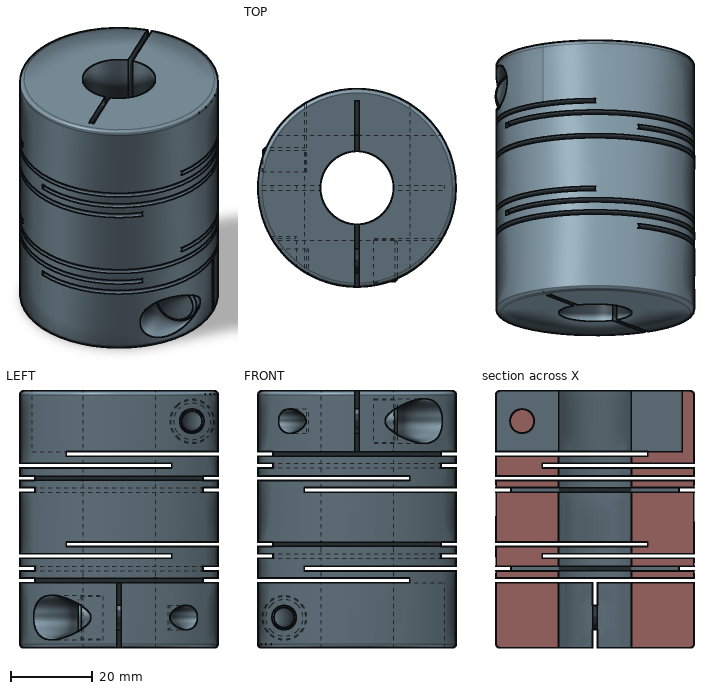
import cadquery as cq


body_diameter = 49.0
body_length = 63.5
bore_diameter = 18.0
rim_fillet = 1.0

slot_width = 1.1
slot_reach = 13.0
slot_pair_pitch = 2.9
slot_pair_step = 6.0
slot_group_step = 22.3
first_slot_depth = 15.6

slit_width = 1.2
slit_reach = 21.5

screw_offset = 18.0
screw_end_distance = 7.5
shank_diameter = 6.0
shank_tip = -12.5
tip_chamfer = 0.5
head_diameter = 10.5
head_seat = 4.0
head_face = 10.0
head_chamfer = 0.7
counterbore_diameter = 11.0

body_radius = body_diameter / 2
first_slot_z = body_length - first_slot_depth
last_slot_z = first_slot_z - slot_group_step - slot_pair_step - slot_pair_pitch

FROM_MINUS_Y = 0
FROM_PLUS_X = 90
FROM_PLUS_Y = 180
FROM_MINUS_X = 270

SWAP_AXIS_END = (1, 1, 0)


def make_body():
    body = cq.Workplane("XY").circle(body_radius).extrude(body_length)
    body = body.faces("<Z or >Z").edges().fillet(rim_fillet)
    bore = cq.Workplane("XY").circle(bore_diameter / 2).extrude(body_length)
    return body.cut(bore)


def cross_slot(z, side):
    """Slot entering from the given side and stopping beyond the axis."""
    slot = (
        cq.Workplane("XY")
        .box(body_diameter, body_radius + slot_reach, slot_width)
        .translate((0, (slot_reach - body_radius) / 2, z))
    )
    return slot.rotate((0, 0, 0), (0, 0, 1), side)


def cut_cross_slots(body):
    groups = (
        (FROM_MINUS_Y, FROM_PLUS_Y, FROM_MINUS_X, FROM_PLUS_X),
        (FROM_MINUS_Y, FROM_PLUS_Y, FROM_PLUS_X, FROM_MINUS_X),
    )
    drops = (0, slot_pair_pitch, slot_pair_step, slot_pair_step + slot_pair_pitch)
    for group, sides in enumerate(groups):
        for drop, side in zip(drops, sides):
            z = first_slot_z - group * slot_group_step - drop
            body = body.cut(cross_slot(z, side))
    return body


def hub_slit(depth):
    """Slit from an end face at Z = 0 downwards, open on the -Y side."""
    return (
        cq.Workplane("XY")
        .box(slit_width, body_radius + slit_reach, depth)
        .translate((0, (slit_reach - body_radius) / 2, -depth / 2))
    )


def cylinder_on_screw_axis(diameter, start, end):
    """Cylinder along X on the screw axis, for an end face at Z = 0."""
    return (
        cq.Workplane("YZ", origin=(start, 0, 0))
        .center(-screw_offset, -screw_end_distance)
        .circle(diameter / 2)
        .extrude(end - start)
    )


def screw_hole():
    """Through hole with a counterbore open towards +X."""
    hole = cylinder_on_screw_axis(shank_diameter, -body_radius, body_radius)
    return hole.union(cylinder_on_screw_axis(counterbore_diameter, head_seat, body_radius))


def clamp_screw():
    shank = cylinder_on_screw_axis(shank_diameter, shank_tip, head_seat)
    shank = shank.faces("<X").chamfer(tip_chamfer)
    head = cylinder_on_screw_axis(head_diameter, head_seat, head_face)
    head = head.faces(">X").chamfer(head_chamfer)
    return shank.union(head)


def to_upper_hub(shape):
    return shape.translate((0, 0, body_length))


def to_lower_hub(shape):
    return shape.rotate((0, 0, 0), SWAP_AXIS_END, 180)


def fit_clamp(body, place, slit_depth):
    body = body.cut(place(hub_slit(slit_depth)))
    body = body.cut(place(screw_hole()))
    return body.union(place(clamp_screw()))


result = cut_cross_slots(make_body())
result = fit_clamp(result, to_upper_hub, first_slot_depth - slot_width / 2)
result = fit_clamp(result, to_lower_hub, last_slot_z - slot_width / 2)